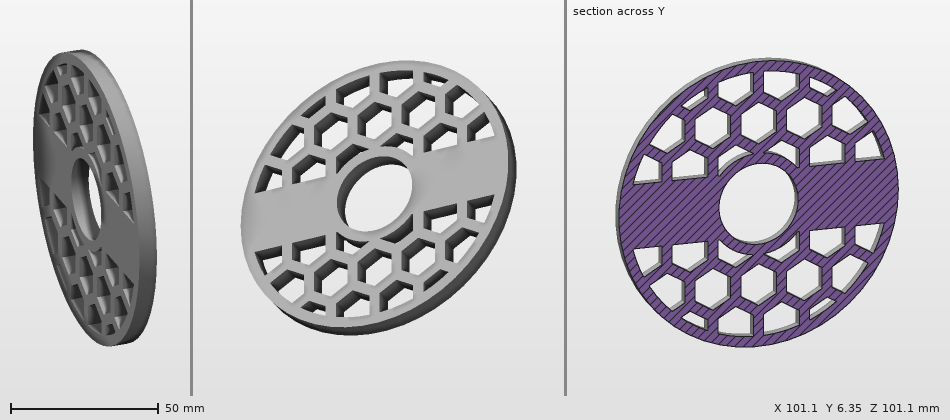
import cadquery as cq
import math

disc_diameter = 101.092
thickness = 6.35
bore_diameter = 28.448
wall = 3.81
cell_sides = 6
cell_across_flats = 12.7
band_height = 22.86

disc_radius = disc_diameter / 2
bore_radius = bore_diameter / 2
rim_inner_radius = disc_radius - wall
hub_radius = bore_radius + wall
cell_corner_radius = cell_across_flats / 2 / math.cos(math.pi / cell_sides)
column_pitch = cell_across_flats + wall
row_pitch = column_pitch * math.sin(math.radians(60))
row_count = math.ceil(rim_inner_radius / row_pitch)
column_count = math.ceil(rim_inner_radius / column_pitch)


def front_plane():
    """Sketch plane on the front (-Y) face of the disc."""
    return cq.Workplane("XZ", origin=(0, -thickness / 2, 0))


def cylinder(radius):
    """Round plate of the disc's thickness, centred on the origin with its axis along Y."""
    return front_plane().circle(radius).extrude(-thickness)


def cell_centres():
    """Centres (x, z) of the honeycomb cells; odd rows are shifted by half a pitch."""
    centres = []
    for row in range(-row_count, row_count + 1):
        shift = column_pitch / 2 if row % 2 else 0
        for column in range(-column_count, column_count + 1):
            x = column * column_pitch + shift
            z = row * row_pitch
            if math.hypot(x, z) < rim_inner_radius + cell_corner_radius:
                centres.append((x, z))
    return centres


def honeycomb_cells():
    """Hexagonal prisms with a corner pointing along +Z."""
    turned_centres = [(z, -x) for x, z in cell_centres()]
    return (
        front_plane()
        .transformed(rotate=(0, 0, 90))
        .pushPoints(turned_centres)
        .polygon(cell_sides, 2 * cell_corner_radius)
        .extrude(-thickness)
    )


def openings():
    """Honeycomb cells trimmed by the rim, the hub ring and the middle band."""
    band = cq.Workplane("XY").box(disc_diameter, thickness, band_height)
    return (
        honeycomb_cells()
        .intersect(cylinder(rim_inner_radius))
        .cut(cylinder(hub_radius))
        .cut(band)
    )


result = cylinder(disc_radius).cut(openings()).cut(cylinder(bore_radius))